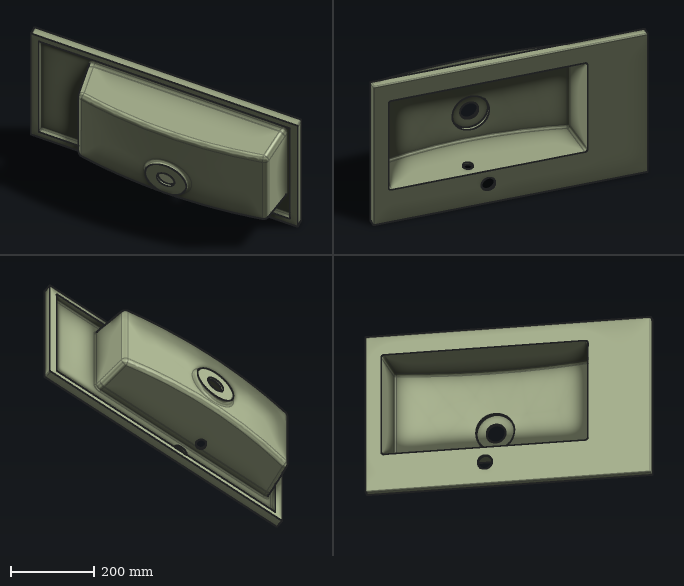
import cadquery as cq
import math


PLATE_LENGTH = 700.0
PLATE_WIDTH = 400.0
PLATE_THICKNESS = 22.5
EDGE_RADIUS = 3.0
WALL = 7.0
RIM_WIDTH = 21.0
RECESS_DEPTH = PLATE_THICKNESS - WALL
RECESS_CORNER_RADIUS = 2.0
ROOT_RADIUS = 4.0

BOWL_X = 57.5
BOWL_Z = 22.0
BOWL_LENGTH = 515.0
BOWL_WIDTH = 264.5
BOWL_DRAFT = 6.6
BOWL_RADIUS = 14.0
DRAFT_SLOPE = math.tan(math.radians(BOWL_DRAFT))

FLOOR_DEPTH_ENDS = 85.5
FLOOR_DEPTH_TOP = 106.5
FLOOR_DEPTH_DRAIN = 113.0
FLOOR_DEPTH_BOTTOM = 108.5

TOTAL_DEPTH = 145.0
BOSS_DEPTH = TOTAL_DEPTH - PLATE_THICKNESS
DRAIN_X = 57.0
DRAIN_Z = -19.0
BOSS_RADIUS = 54.0
BOSS_FILLET = 9.0
DRAIN_HOLE_DIAMETER = 46.0
TAP_HOLE_Z = -144.0
TAP_HOLE_DIAMETER = 35.0
OVERFLOW_X = 97.0
OVERFLOW_Y = -10.5
OVERFLOW_DIAMETER = 25.0


def plane_at(y, x=0.0, z=0.0):
    """Workplane facing -Y: local x is +X and local y is +Z."""
    return cq.Workplane(cq.Plane((x, y, z), (1, 0, 0), (0, -1, 0)))


def cylinder(z, radius, start_y, end_y):
    """Cylinder along Y above or below the drain, from start_y down to end_y."""
    return plane_at(start_y, DRAIN_X, z).circle(radius).extrude(start_y - end_y)


def box_around(x, y, z, half_x, half_y, half_z):
    """Selector for the edges whose centres lie in a box centred on (x, y, z)."""
    low = (x - half_x, y - half_y, z - half_z)
    high = (x + half_x, y + half_y, z + half_z)
    return cq.selectors.BoxSelector(low, high)


def plate():
    """Plate with softened outer edges and a shallow recess inside the rim."""
    body = plane_at(PLATE_THICKNESS).rect(PLATE_LENGTH, PLATE_WIDTH).extrude(PLATE_THICKNESS)
    body = body.edges("|Y").fillet(EDGE_RADIUS)
    body = body.faces(">Y").edges().fillet(EDGE_RADIUS)
    recess = (
        plane_at(RECESS_DEPTH)
        .rect(PLATE_LENGTH - 2 * RIM_WIDTH, PLATE_WIDTH - 2 * RIM_WIDTH)
        .extrude(RECESS_DEPTH)
        .edges("|Y").fillet(RECESS_CORNER_RADIUS)
        .faces(">Y").edges().fillet(ROOT_RADIUS)
    )
    return body.cut(recess)


def tapered_block(inset, start_y):
    """Drafted bowl block, shrunk by inset on every side, starting at start_y."""
    growth = 2 * (DRAFT_SLOPE * start_y - inset)
    return (
        plane_at(start_y, BOWL_X, BOWL_Z)
        .rect(BOWL_LENGTH + growth, BOWL_WIDTH + growth)
        .extrude(TOTAL_DEPTH, taper=BOWL_DRAFT)
    )


def floor_limit(inset, start_y):
    """Loft whose -Y side is the crowned floor: straight at the ends, deepest at the drain."""
    half_floor = BOWL_LENGTH / 2 - DRAFT_SLOPE * FLOOR_DEPTH_ENDS
    half_span = BOWL_LENGTH / 2 + PLATE_THICKNESS
    sections = [
        (BOWL_Z + BOWL_WIDTH / 2, FLOOR_DEPTH_TOP),
        (DRAIN_Z, FLOOR_DEPTH_DRAIN),
        (BOWL_Z - BOWL_WIDTH / 2, FLOOR_DEPTH_BOTTOM),
    ]
    outlines = []
    for z, depth in sections:
        sag = depth - FLOOR_DEPTH_ENDS
        arc_radius = (half_floor**2 + sag**2) / (2 * sag)
        span_depth = depth - arc_radius + math.sqrt(arc_radius**2 - half_span**2)
        outline = (
            cq.Workplane("XY", origin=(BOWL_X, 0, z))
            .moveTo(-half_span, start_y)
            .lineTo(-half_span, inset - span_depth)
            .threePointArc((0, inset - depth), (half_span, inset - span_depth))
            .lineTo(half_span, start_y)
            .close()
        )
        outlines.append(outline.val())
    return cq.Workplane(cq.Solid.makeLoft(outlines))


def bowl(inset, radius, start_y):
    """Bowl solid with every edge rounded except those of its open +Y side."""
    block = tapered_block(inset, start_y)
    block = block.intersect(floor_limit(inset, start_y + WALL))
    return block.edges("not(>Y)").fillet(radius)


def outer_bowl():
    """Outside of the bowl with the drain boss blended into the floor."""
    body = bowl(0.0, BOWL_RADIUS, RECESS_DEPTH + WALL / 2)
    boss = cylinder(DRAIN_Z, BOSS_RADIUS, -FLOOR_DEPTH_ENDS, -BOSS_DEPTH)
    reach = BOSS_RADIUS + BOSS_FILLET
    seam = box_around(DRAIN_X, -FLOOR_DEPTH_DRAIN, DRAIN_Z, reach, WALL / 2, reach)
    return body.union(boss).edges(seam).fillet(BOSS_FILLET)


def inner_bowl():
    """Hollow of the bowl, with a sump that follows the drain boss."""
    hollow = bowl(WALL, BOWL_RADIUS - WALL, PLATE_THICKNESS)
    sump = cylinder(DRAIN_Z, BOSS_RADIUS - WALL, -FLOOR_DEPTH_ENDS, WALL - BOSS_DEPTH)
    return hollow.union(sump)


def blend_bowl_root(body):
    """Round the corner where the bowl walls leave the recess floor."""
    reach_x = BOWL_LENGTH / 2 + ROOT_RADIUS
    reach_z = BOWL_WIDTH / 2 + ROOT_RADIUS
    root = box_around(BOWL_X, RECESS_DEPTH, BOWL_Z, reach_x, ROOT_RADIUS / 10, reach_z)
    return body.edges(root).fillet(ROOT_RADIUS)


def holes():
    """Drain and tap holes along Y, and the overflow hole in the lower bowl wall."""
    drain = cylinder(DRAIN_Z, DRAIN_HOLE_DIAMETER / 2, 0, -TOTAL_DEPTH)
    tap = cylinder(TAP_HOLE_Z, TAP_HOLE_DIAMETER / 2, PLATE_THICKNESS, 0)
    overflow = (
        cq.Workplane("XY", origin=(OVERFLOW_X, OVERFLOW_Y, BOWL_Z))
        .circle(OVERFLOW_DIAMETER / 2)
        .extrude(-BOWL_WIDTH / 2 - WALL)
    )
    return drain.union(tap).union(overflow)


sink = blend_bowl_root(plate().union(outer_bowl()))
result = sink.cut(inner_bowl()).cut(holes())